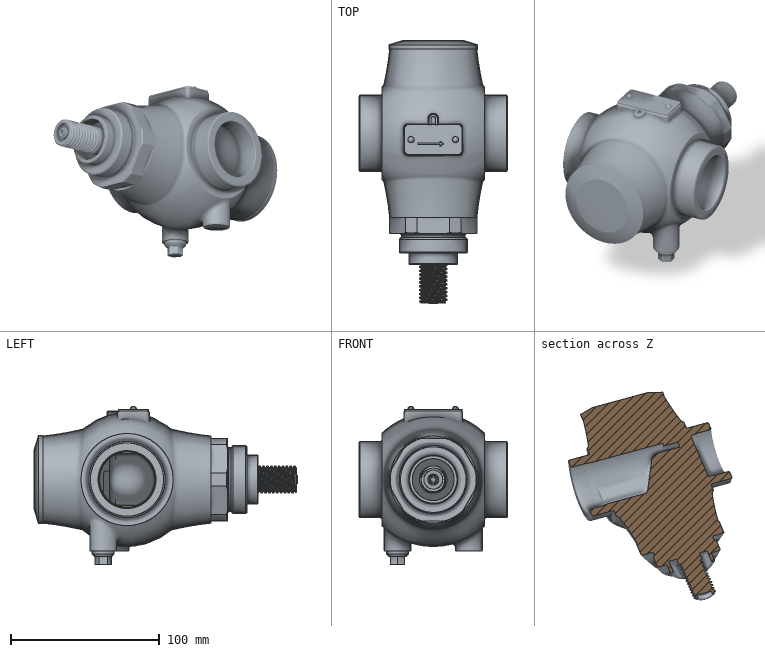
import cadquery as cq
import math


port_end_x = 50.0
port_radius = 25.65
port_end_chamfer_length = 0.6
port_end_chamfer_depth = 1.0
port_root_fillet = 0.8
body_flat_x = 34.65
body_flat_radius = 31.0
body_radius = 45.0

neck_root_y = 28.5
neck_root_radius = 34.2
neck_end_y = 56.6
neck_end_radius = 29.3
neck_sag = 0.5
neck_blend_radius = 2.5
neck_join_margin = 0.4
neck_join_span = 3.6
cap_radius = 29.7
cap_rim_y = 59.6
cap_end_y = 62.6
cap_face_radius = 19.8

hex_across_flats = 55.6
hex_corner_across_flats = 59.2
hex_end_y = -67.6
hex_chamfer_length = 0.7
hex_face_radius = 28.9
groove_radius = 21.5
groove_start_y = -68.4
hex_hub_radius = 22.3
collar_shoulder_y = -70.0
collar_radius = 22.9
collar_end_y = -80.7
collar_chamfer = 0.8
sleeve_radius = 16.45
sleeve_bore_radius = 14.1
sleeve_end_y = -88.3
sleeve_chamfer = 0.5
sleeve_bore_depth = 10.0

thread_radius = 9.2
thread_pitch = 2.6
thread_depth = 1.5
thread_mouth_width = 2.2
thread_floor_width = 0.5
thread_overcut = 0.26
thread_runout = 1.5 * thread_pitch
thread_end_y = -113.2
spindle_end_y = -114.2
spindle_tip_y = -114.7
spindle_recess_radius = 6.4
spindle_recess_depth = 2.5
spindle_hub_radius = 3.6
spindle_hub_drop = 0.8
spindle_pin_radius = 2.7
spindle_pin_bore_radius = 1.8
spindle_pin_bore_depth = 2.0

attachment_root_z = 25.0

plate_center_y = -4.3
plate_length = 38.4
plate_width = 20.3
plate_bottom_z = 46.0
plate_top_z = 47.2
plate_corner_radius = 2.0
pad_margin = 0.5
pad_top_fillet = 1.0
pad_root_fillet = 0.7
screw_spacing = 30.0
screw_radius = 2.05
arrow_depth = 0.2
arrow_start_x = -10.2
arrow_neck_x = 4.6
arrow_tip_x = 7.0
arrow_y = -7.1
arrow_half_width = 0.6
arrow_head_half_width = 1.7

lug_center_y = 9.9
lug_radius = 3.5
lug_top_z = 46.1
lug_slot_radius = 1.4
lug_slot_depth = 1.2
lug_edge_chamfer = 0.7

boss_radius = 9.0
boss_rim_height = 0.7
boss_rim_inset = 0.2
boss_bottom_z = -48.2
boss_x = 24.05
plug_boss_y = 16.1
blind_boss_y = 7.8
boss_root_fillet = 3.0
plug_collar_radius = 7.4
plug_collar_straight = 1.8
plug_neck_radius = 5.6
plug_collar_bottom_z = -51.9
plug_bottom_z = -57.2
plug_across_flats = 9.6

socket_radius = 19.1
socket_chamfer = 0.4
socket_depth = 9.5
taper_radius = 18.6
taper_depth = 14.8
passage_half_height = 17.4
passage_floor_angle = 25.0
passage_floor_fillet = 2.5
crest_start_y = 7.7
crest_end_y = 11.7
crest_drop = 5.0
window_far_y = 15.7
window_top_z = 5.8
window_depth = 10.0
window_corner_radius = 1.5


def revolve_about_y(profile):
    """Revolve a closed XY outline about the Y axis."""
    return profile.close().revolve(360, (0, 0, 0), (0, 1, 0))


def make_body():
    """Barrel-shaped body about X with a flat face at each end."""
    return (
        cq.Workplane("XY")
        .moveTo(-body_flat_x, 0)
        .lineTo(-body_flat_x, body_flat_radius)
        .threePointArc((0, body_radius), (body_flat_x, body_flat_radius))
        .lineTo(body_flat_x, 0)
        .close()
        .revolve(360, (0, 0, 0), (1, 0, 0))
    )


def make_port():
    """Plain round port at +X with a rounded root and a chamfered end."""
    cos_45 = math.cos(math.radians(45))
    root_center_x = body_flat_x + port_root_fillet
    root_center_y = port_radius + port_root_fillet
    return (
        cq.Workplane("XY")
        .moveTo(body_flat_x, 0)
        .lineTo(body_flat_x, root_center_y)
        .threePointArc(
            (root_center_x - port_root_fillet * cos_45, root_center_y - port_root_fillet * cos_45),
            (root_center_x, port_radius),
        )
        .lineTo(port_end_x - port_end_chamfer_length, port_radius)
        .lineTo(port_end_x, port_radius - port_end_chamfer_depth)
        .lineTo(port_end_x, 0)
        .close()
        .revolve(360, (0, 0, 0), (1, 0, 0))
    )


def make_neck():
    """Flared neck along +Y, waisted slightly between root and end."""
    mid_radius = (neck_root_radius + neck_end_radius) / 2 - neck_sag
    mid_y = (neck_root_y + neck_end_y) / 2
    return revolve_about_y(
        cq.Workplane("XY")
        .lineTo(neck_root_radius, 0)
        .lineTo(neck_root_radius, neck_root_y)
        .threePointArc((mid_radius, mid_y), (neck_end_radius, neck_end_y))
        .lineTo(0, neck_end_y)
    )


def make_boss(x, y):
    """Round boss hanging down from the body."""
    boss = cq.Workplane("XY", origin=(x, y, boss_bottom_z)).circle(boss_radius)
    boss = boss.extrude(-boss_bottom_z - attachment_root_z)
    return boss.faces("<Z").chamfer(boss_rim_height, boss_rim_inset)


def make_pad():
    """Raised pad that carries the name plate."""
    return (
        cq.Workplane("XY", origin=(0, plate_center_y, attachment_root_z))
        .rect(plate_length + 2 * pad_margin, plate_width + 2 * pad_margin)
        .extrude(plate_bottom_z - attachment_root_z)
        .edges("|Z")
        .fillet(plate_corner_radius + pad_margin)
        .faces(">Z")
        .edges()
        .fillet(pad_top_fillet)
    )


def fillet_edges_in_box(part, low_corner, high_corner, radius):
    """Fillet the edges whose centres lie inside the given box."""
    return part.edges(cq.selectors.BoxSelector(low_corner, high_corner)).fillet(radius)


def add_necks(part):
    """Join both necks to the body and blend their roots."""
    neck = make_neck()
    part = part.union(neck).union(neck.mirror("XZ"))
    reach = body_flat_x
    near_y = neck_root_y + neck_join_margin
    far_y = near_y + neck_join_span
    for low_y, high_y in ((near_y, far_y), (-far_y, -near_y)):
        part = fillet_edges_in_box(part, (-reach, low_y, -reach), (reach, high_y, reach), neck_blend_radius)
    return part


def add_boss(part, x, y):
    """Join one bottom boss to the body and blend its root."""
    part = part.union(make_boss(x, y))
    reach = boss_radius / 2
    low_corner = (x - reach, y - reach, -body_radius)
    high_corner = (x + reach, y + reach, -attachment_root_z)
    return fillet_edges_in_box(part, low_corner, high_corner, boss_root_fillet)


def add_pad(part):
    """Join the name plate pad to the body and blend its root."""
    part = part.union(make_pad())
    half_length = plate_length / 2 + 2 * pad_margin
    half_width = plate_width / 2 + 2 * pad_margin
    root_edges = part.edges("%BSPLINE").edges(
        cq.selectors.BoxSelector(
            (-half_length, plate_center_y - half_width, neck_root_radius),
            (half_length, plate_center_y + half_width, body_radius),
        )
    )
    return root_edges.fillet(pad_root_fillet)


def make_lug():
    """Round-ended lug running out from under the pad, with a narrow slot in its top."""

    def round_ended(radius, bottom_z, top_z):
        base = cq.Workplane("XY", origin=(0, 0, bottom_z))
        head = base.center(0, lug_center_y).circle(radius).extrude(top_z - bottom_z)
        tail = base.center(0, lug_center_y / 2).rect(2 * radius, lug_center_y).extrude(top_z - bottom_z)
        return head.union(tail)

    lug = round_ended(lug_radius, attachment_root_z, lug_top_z)
    lug = lug.faces(">Z").edges().chamfer(lug_edge_chamfer)
    return lug.cut(round_ended(lug_slot_radius, lug_top_z - lug_slot_depth, lug_top_z))


def make_name_plate():
    """Name plate with a flow arrow cut into its top."""
    plate = (
        cq.Workplane("XY", origin=(0, plate_center_y, plate_bottom_z))
        .rect(plate_length, plate_width)
        .extrude(plate_top_z - plate_bottom_z)
        .edges("|Z")
        .fillet(plate_corner_radius)
    )
    arrow = (
        cq.Workplane("XY", origin=(0, arrow_y, plate_top_z))
        .moveTo(arrow_start_x, arrow_half_width)
        .lineTo(arrow_neck_x, arrow_half_width)
        .lineTo(arrow_neck_x, arrow_head_half_width)
        .lineTo(arrow_tip_x, 0)
        .lineTo(arrow_neck_x, -arrow_head_half_width)
        .lineTo(arrow_neck_x, -arrow_half_width)
        .lineTo(arrow_start_x, -arrow_half_width)
        .close()
        .extrude(-arrow_depth)
    )
    return plate.cut(arrow)


def make_screw(x):
    """Domed screw head standing on the name plate."""
    return cq.Workplane("XY", origin=(x, plate_center_y, plate_top_z)).sphere(screw_radius)


def make_plug():
    """Hexagonal plug screwed into the left bottom boss."""
    straight_end_z = boss_bottom_z - plug_collar_straight
    collar = (
        cq.Workplane("XZ")
        .moveTo(0, boss_bottom_z)
        .lineTo(plug_collar_radius, boss_bottom_z)
        .lineTo(plug_collar_radius, straight_end_z)
        .lineTo(plug_neck_radius, plug_collar_bottom_z)
        .lineTo(0, plug_collar_bottom_z)
        .close()
        .revolve(360, (0, 0, 0), (0, 1, 0))
    )
    head = (
        cq.Workplane("XY", origin=(0, 0, plug_bottom_z))
        .polygon(6, plug_across_flats, circumscribed=True)
        .extrude(boss_bottom_z - plug_bottom_z)
    )
    return collar.union(head).translate((-boss_x, plug_boss_y, 0))


def make_cap():
    """Rear cap with a conical rim."""
    return revolve_about_y(
        cq.Workplane("XY")
        .moveTo(0, neck_end_y)
        .lineTo(cap_radius, neck_end_y)
        .lineTo(cap_radius, cap_rim_y)
        .lineTo(cap_face_radius, cap_end_y)
        .lineTo(0, cap_end_y)
    )


def make_bonnet_hex():
    """Hexagon with flat-cut corners and a conical front chamfer."""
    length = -neck_end_y - hex_end_y

    def prism(across_flats, turn):
        hexagon = cq.Workplane("XZ", origin=(0, -neck_end_y, 0)).polygon(6, across_flats, circumscribed=True)
        return hexagon.extrude(length).rotate((0, 0, 0), (0, 1, 0), turn)

    flat_distance = hex_across_flats / 2
    corner_distance = hex_corner_across_flats / 2
    flat_half_width = 2 * corner_distance - math.sqrt(3) * flat_distance
    outer_radius = math.hypot(flat_distance, flat_half_width)
    envelope = revolve_about_y(
        cq.Workplane("XY")
        .moveTo(0, -neck_end_y)
        .lineTo(outer_radius, -neck_end_y)
        .lineTo(outer_radius, hex_end_y + hex_chamfer_length)
        .lineTo(hex_face_radius, hex_end_y)
        .lineTo(0, hex_end_y)
    )
    return prism(hex_across_flats, 30).intersect(prism(hex_corner_across_flats, 0)).intersect(envelope)


def make_collar_and_sleeve():
    """Round collar and open sleeve in front of the hexagon."""
    bore_floor_y = sleeve_end_y + sleeve_bore_depth
    return revolve_about_y(
        cq.Workplane("XY")
        .moveTo(0, hex_end_y)
        .lineTo(hex_hub_radius, hex_end_y)
        .lineTo(groove_radius, groove_start_y)
        .lineTo(groove_radius, collar_shoulder_y)
        .lineTo(collar_radius, collar_shoulder_y - (collar_radius - groove_radius))
        .lineTo(collar_radius, collar_end_y + collar_chamfer)
        .lineTo(collar_radius - collar_chamfer, collar_end_y)
        .lineTo(sleeve_radius, collar_end_y)
        .lineTo(sleeve_radius, sleeve_end_y + sleeve_chamfer)
        .lineTo(sleeve_radius - sleeve_chamfer, sleeve_end_y)
        .lineTo(sleeve_bore_radius, sleeve_end_y)
        .lineTo(sleeve_bore_radius, bore_floor_y)
        .lineTo(0, bore_floor_y)
    )


def make_thread_groove(length):
    """Right-handed helical groove about Z, starting at the origin."""
    helix = cq.Wire.makeHelix(thread_pitch, length, thread_radius - thread_depth)
    mouth_radius = thread_radius + thread_overcut
    half_mouth = thread_mouth_width / 2
    half_floor = thread_floor_width / 2
    return (
        cq.Workplane("XZ")
        .moveTo(mouth_radius, -half_mouth)
        .lineTo(mouth_radius, half_mouth)
        .lineTo(thread_radius - thread_depth, half_floor)
        .lineTo(thread_radius - thread_depth, -half_floor)
        .close()
        .sweep(cq.Workplane(obj=helix), isFrenet=True)
    )


def make_spindle():
    """Threaded spindle with a recessed end and a hollow centre pin."""
    root_y = sleeve_end_y + sleeve_bore_depth
    end_height = root_y - spindle_end_y
    tip_height = root_y - spindle_tip_y
    thread_height = root_y - thread_end_y
    end_chamfer = end_height - thread_height
    recess_floor = end_height - spindle_recess_depth
    hub_top = end_height - spindle_hub_drop
    pin_bore_floor = tip_height - spindle_pin_bore_depth
    spindle = (
        cq.Workplane("XZ")
        .lineTo(thread_radius, 0)
        .lineTo(thread_radius, thread_height)
        .lineTo(thread_radius - end_chamfer, end_height)
        .lineTo(spindle_recess_radius, end_height)
        .lineTo(spindle_recess_radius, recess_floor)
        .lineTo(spindle_hub_radius, recess_floor)
        .lineTo(spindle_hub_radius, hub_top)
        .lineTo(spindle_pin_radius, hub_top)
        .lineTo(spindle_pin_radius, tip_height)
        .lineTo(spindle_pin_bore_radius, tip_height)
        .lineTo(spindle_pin_bore_radius, pin_bore_floor)
        .lineTo(0, pin_bore_floor)
        .close()
        .revolve(360, (0, 0, 0), (0, 1, 0))
    )
    blank = cq.Workplane("XY").circle(thread_radius).extrude(end_height + 2 * thread_runout)
    threaded_blank = blank.cut(make_thread_groove(end_height).translate((0, 0, thread_runout)))
    return spindle.intersect(threaded_blank).rotate((0, 0, 0), (1, 0, 0), 90).translate((0, root_y, 0))


def make_port_bore():
    """Socket and taper bored into the -X port."""
    return (
        cq.Workplane("XY")
        .moveTo(-port_end_x, 0)
        .lineTo(-port_end_x, socket_radius + socket_chamfer)
        .lineTo(-port_end_x + socket_chamfer, socket_radius)
        .lineTo(-port_end_x + socket_depth, socket_radius)
        .lineTo(-port_end_x + taper_depth, taper_radius)
        .lineTo(-port_end_x + taper_depth, 0)
        .close()
        .revolve(360, (0, 0, 0), (1, 0, 0))
    )


def make_inlet_passage():
    """Inlet passage with a sloped floor that rounds over a crest into a deeper chamber."""
    start_x = -port_end_x + taper_depth
    floor_slope = math.tan(math.radians(passage_floor_angle))
    crest_turn = math.radians(90 - passage_floor_angle)
    crest_start_x = crest_start_y * floor_slope
    crest_radius = (crest_end_y - crest_start_y) / (1 - math.cos(crest_turn))
    crest_end_x = crest_start_x + crest_radius * math.sin(crest_turn)
    chamber_end_x = crest_end_x + crest_drop

    bore_limit = cq.Workplane("YZ", origin=(start_x, 0, 0)).circle(taper_radius).extrude(-2 * start_x)

    def within_bore(outline):
        return outline.close().extrude(2 * passage_half_height).intersect(bore_limit)

    bottom_plane = cq.Workplane("XY", origin=(0, 0, -passage_half_height))
    sloped = within_bore(
        bottom_plane.moveTo(start_x, -taper_radius)
        .lineTo(-taper_radius * floor_slope, -taper_radius)
        .lineTo(taper_radius * floor_slope, taper_radius)
        .lineTo(start_x, taper_radius)
    )
    sloped = sloped.faces(">X").edges().fillet(passage_floor_fillet)
    chamber = within_bore(
        bottom_plane.moveTo(crest_start_x, crest_start_y)
        .radiusArc((crest_end_x, crest_end_y), crest_radius)
        .lineTo(chamber_end_x, crest_end_y)
        .lineTo(chamber_end_x, taper_radius)
        .lineTo(start_x, taper_radius)
        .lineTo(start_x, crest_start_y)
    )
    window = (
        cq.Workplane("XY", origin=(chamber_end_x, 0, 0))
        .box(window_depth, window_far_y - crest_end_y, window_top_z + taper_radius, centered=False)
        .translate((0, crest_end_y, -taper_radius))
        .edges("|X and >Z")
        .fillet(window_corner_radius)
    )
    return sloped.union(chamber).union(window.intersect(bore_limit))


result = add_necks(make_body())
port = make_port()
result = result.union(port).union(port.mirror("YZ"))
result = add_boss(result, -boss_x, plug_boss_y)
result = add_boss(result, boss_x, blind_boss_y)
result = add_pad(result)

port_bore = make_port_bore()
result = result.cut(port_bore).cut(port_bore.mirror("YZ")).cut(make_inlet_passage())

for attachment in (
    make_lug(),
    make_name_plate(),
    make_screw(-screw_spacing / 2),
    make_screw(screw_spacing / 2),
    make_plug(),
    make_cap(),
    make_bonnet_hex(),
    make_collar_and_sleeve(),
    make_spindle(),
):
    result = result.union(attachment)